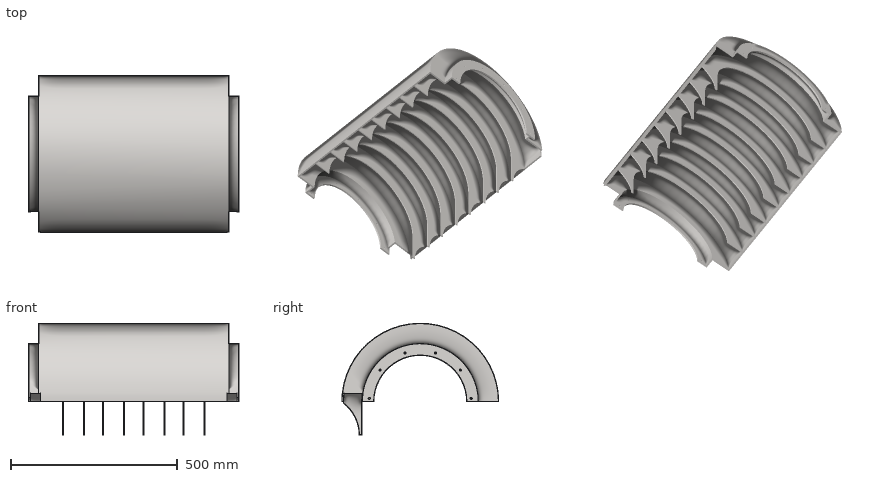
import cadquery as cq
import math

total_length = 630
collar_length = 30
body_length = total_length - 2 * collar_length
sheet_thickness = 5

body_radius = 235
collar_radius = 174
opening_radius = 139
body_inner_radius = body_radius - sheet_thickness
collar_inner_radius = collar_radius - sheet_thickness
rib_inner_radius = 175

notch_height = 25

bolt_diameter = 5
bolt_circle_radius = 153
bolt_count = 6
first_bolt_angle = 3.7

rib_pair_count = 4
rib_pair_pitch = 120
rib_pair_gap = rib_pair_pitch / 2
rib_thickness = 3
tooth_depth = 99.67
tooth_tip_width = 8
tooth_arc_radius = 120


def half_ring(outer_radius, inner_radius, start_x, length):
    """Upper half of a ring about the X axis, extruded from start_x towards +X."""
    return (
        cq.Workplane("YZ", origin=(start_x, 0, 0))
        .moveTo(-outer_radius, 0)
        .threePointArc((0, outer_radius), (outer_radius, 0))
        .lineTo(inner_radius, 0)
        .threePointArc((0, inner_radius), (-inner_radius, 0))
        .close()
        .extrude(length)
    )


def body_shell():
    """Large half tube between the two collars."""
    return half_ring(body_radius, body_inner_radius, -body_length / 2, body_length)


def end_cap():
    """Collar, its end plate and the body end wall at the -X end."""
    end_x = -total_length / 2
    wall_x = end_x + collar_length
    end_plate = half_ring(collar_radius, opening_radius, end_x, sheet_thickness)
    collar = half_ring(collar_radius, collar_inner_radius, end_x, collar_length + sheet_thickness)
    body_wall = half_ring(body_radius, collar_inner_radius, wall_x, sheet_thickness)
    cap = end_plate.union(collar).union(body_wall)
    return cap.cut(bolt_holes(end_x))


def bolt_holes(end_x):
    """Bolt holes through the end plate, evenly spread around the half circle."""
    step = (180 - 2 * first_bolt_angle) / (bolt_count - 1)
    angles = [math.radians(first_bolt_angle + i * step) for i in range(bolt_count)]
    centres = [
        (bolt_circle_radius * math.cos(a), bolt_circle_radius * math.sin(a)) for a in angles
    ]
    return (
        cq.Workplane("YZ", origin=(end_x, 0, 0))
        .pushPoints(centres)
        .circle(bolt_diameter / 2)
        .extrude(sheet_thickness)
    )


def end_notch():
    """Block that opens the collar, end wall and shell at the -Y foot of the -X end."""
    width = body_radius - opening_radius
    corner = (sheet_thickness - total_length / 2, -body_radius, 0)
    block = cq.Workplane("XY").box(collar_length, width, notch_height, centered=False)
    return block.translate(corner)


def rib(start_x):
    """Half-ring rib inside the body with its tooth below the -Y foot."""
    ring = half_ring(body_inner_radius, rib_inner_radius, start_x, rib_thickness)

    tip_y = -rib_inner_radius - tooth_tip_width
    arc_centre_y = tip_y - tooth_arc_radius
    root_cosine = (-body_inner_radius - arc_centre_y) / tooth_arc_radius
    root_angle = math.acos(root_cosine)
    root_z = tooth_arc_radius * math.sin(root_angle) - tooth_depth
    middle_y = arc_centre_y + tooth_arc_radius * math.cos(root_angle / 2)
    middle_z = tooth_arc_radius * math.sin(root_angle / 2) - tooth_depth

    tooth = (
        cq.Workplane("YZ", origin=(start_x, 0, 0))
        .moveTo(-rib_inner_radius, 0)
        .lineTo(-rib_inner_radius, -tooth_depth)
        .lineTo(tip_y, -tooth_depth)
        .threePointArc((middle_y, middle_z), (-body_inner_radius, root_z))
        .lineTo(-body_inner_radius, 0)
        .close()
        .extrude(rib_thickness)
    )
    return ring.union(tooth)


def rib_starts():
    """X of the -X face of every rib."""
    starts = []
    for pair in range(rib_pair_count):
        pair_centre = (pair - (rib_pair_count - 1) / 2) * rib_pair_pitch
        starts.append(pair_centre - rib_pair_gap / 2 - rib_thickness)
        starts.append(pair_centre + rib_pair_gap / 2)
    return starts


def build_housing():
    """Shell with two mirrored end caps and the internal ribs."""
    cap = end_cap()
    housing = body_shell().union(cap).union(cap.mirror("YZ"))
    notch = end_notch()
    housing = housing.cut(notch).cut(notch.mirror("YZ"))
    for start_x in rib_starts():
        housing = housing.union(rib(start_x))
    return housing


result = build_housing()